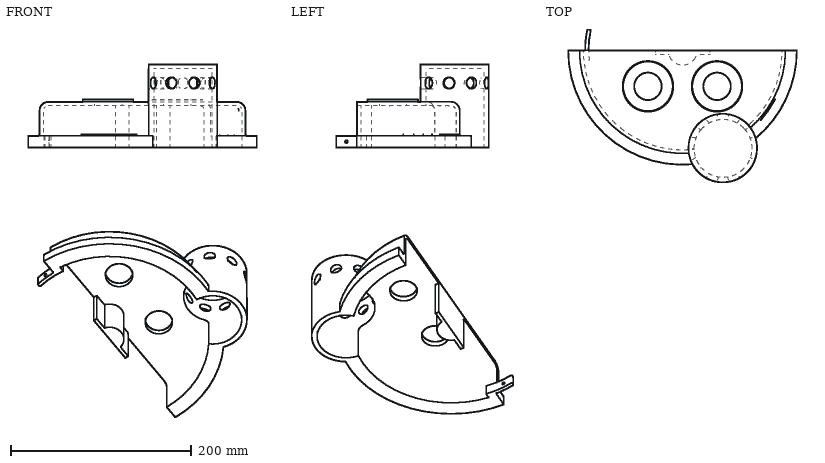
import cadquery as cq

wall = 4.0
flange_radius = 127.0
flange_height = 13.0
dome_radius = 114.3
dome_height = 50.8
dome_edge_radius = 10.0
foot_fillet_radius = 2.0
cavity_radius = dome_radius - wall
cavity_height = dome_height - wall

ring_x = 38.4
ring_y = -40.0
ring_diameter = 56.5
ring_height = 3.0
ring_edge_chamfer = 0.8
opening_diameter = 30.2

post_radius = 16.0
partition_width = 61.0

tower_x = 44.7
tower_y = -108.5
tower_diameter = 76.2
tower_bore = 64.3
tower_height = 92.2
vent_diameter = 12.5
vent_z = 71.6
vent_count = 9

tab_thickness = wall
tab_clearance = 2.0
tab_outer_radius = cavity_radius - tab_clearance
tab_inner_radius = tab_outer_radius - tab_thickness
tab_reach = 23.0
tab_overlap = 10.2
tab_hole_diameter = 2.8
tab_hole_z = flange_height / 2
tab_hole_y = tab_reach / 2


def disc(radius, height, x=0.0, y=0.0):
    """Cylinder standing on the base plane."""
    return cq.Workplane("XY").center(x, y).circle(radius).extrude(height)


def front_half(body):
    """Keep the part of a body on the -Y side of the flat side."""
    size = 2 * flange_radius
    keep = cq.Workplane("XY").box(2 * size, size, size).translate((0, -size / 2, 0))
    return body.intersect(keep)


def make_shell():
    """Flanged, rounded dome before it is hollowed out."""
    half_profile = (
        cq.Workplane("XZ")
        .lineTo(flange_radius, 0)
        .lineTo(flange_radius, flange_height)
        .lineTo(dome_radius + foot_fillet_radius, flange_height)
        .radiusArc((dome_radius, flange_height + foot_fillet_radius), foot_fillet_radius)
        .lineTo(dome_radius, dome_height - dome_edge_radius)
        .radiusArc((dome_radius - dome_edge_radius, dome_height), -dome_edge_radius)
        .lineTo(0, dome_height)
        .close()
    )
    return front_half(half_profile.revolve(360, (0, 0, 0), (0, 1, 0)))


def make_cavity():
    """Space under the dome, open on the flat side and at the base."""
    inner_edge_radius = dome_edge_radius - wall
    cavity = disc(cavity_radius, cavity_height).faces(">Z").edges().fillet(inner_edge_radius)
    return front_half(cavity)


def make_partition():
    """Flat partition and half-round post, reaching from the base into the roof."""
    height = dome_height - wall / 2
    panel = cq.Workplane("XY").box(partition_width, 2 * wall, height, centered=(True, True, False))
    return front_half(panel.union(disc(post_radius, height)))


def make_ring(x):
    ring = disc(ring_diameter / 2, ring_height + wall, x, ring_y)
    return ring.faces(">Z").edges().chamfer(ring_edge_chamfer).translate((0, 0, cavity_height))


def make_vents():
    """Radial drills, evenly spaced, with one pointing along +Y."""
    drill = cq.Workplane("XY").circle(vent_diameter / 2).extrude(tower_diameter)
    drill = drill.rotate((0, 0, 0), (1, 0, 0), -90)
    vents = cq.Workplane("XY")
    for i in range(vent_count):
        vents = vents.add(drill.rotate((0, 0, 0), (0, 0, 1), i * 360 / vent_count))
    return vents.combine().translate((tower_x, tower_y, vent_z))


def make_tab():
    """Drilled tab, with a thicker root inside the cavity that joins the dome wall."""
    band = disc(tab_outer_radius, flange_height).cut(disc(tab_inner_radius, flange_height))
    window = cq.Workplane("XY").box(
        cavity_radius, tab_reach, flange_height, centered=(True, False, False)
    )
    tab = band.intersect(window.translate((-cavity_radius, 0, 0)))
    tab = tab.edges("|Z and >Y").fillet(tab_thickness / 4)
    hole = cq.Workplane("YZ").center(tab_hole_y, tab_hole_z).circle(tab_hole_diameter / 2)
    tab = tab.cut(hole.extrude(-flange_radius))

    root_outer_radius = cavity_radius + wall / 2
    root = disc(root_outer_radius, flange_height).cut(disc(tab_inner_radius, flange_height))
    root_window = cq.Workplane("XY").box(
        cavity_radius, tab_overlap, flange_height, centered=(True, False, False)
    )
    root = root.intersect(root_window.translate((-cavity_radius, -tab_overlap, 0)))
    return tab.union(root)


def make_tower():
    """Capped tower, cut away where it would stand inside the dome cavity."""
    tower = disc(tower_diameter / 2, tower_height, tower_x, tower_y)
    return tower.cut(make_cavity())


tower_cavity = disc(tower_bore / 2, tower_height - wall, tower_x, tower_y)

result = make_shell().cut(make_cavity())
result = result.union(make_tower()).cut(tower_cavity).cut(make_vents())
result = result.union(make_partition()).union(make_tab())
for x in (-ring_x, ring_x):
    result = result.union(make_ring(x))
    result = result.cut(disc(opening_diameter / 2, tower_height, x, ring_y))